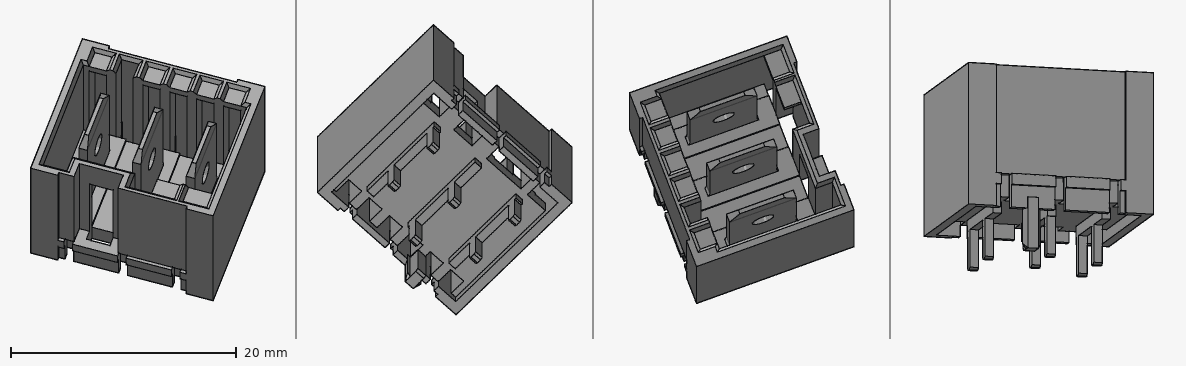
import cadquery as cq

body_x, body_y, body_z = 17.0, 14.9, 12.8
pin_length = 3.6
face_relief = 0.3
panel_half = 5.97
base_z = 1.0
band_bottom, band_top = 2.0, 3.0

cavity_half_x = 7.6
cavity_half_y = 4.95
pocket_reach = 6.55
lead_in = 0.3
plug_thickness = 0.7
groove_z = 2.7
pad_z = band_top
pad_width = 2.79

blade_pitch = 5.0
slot_pitch = blade_pitch / 2
slot_width = 1.6
blade_xs = [-blade_pitch, 0, blade_pitch]
slot_xs = [(i - 2.5) * slot_pitch for i in range(6)]
open_slot = 1

blade_thick = 0.8
blade_top = 12.3
blade_half_y = 3.16
foot_flare = 0.17
foot_flare_z = 3.6
tip_drop = 0.8
tip_flat_half_y = 2.1
tip_flat_width = 0.37
blade_hole_d = 2.0
blade_hole_z = 8.2
outer_pin_ys = [-1.5 * slot_pitch, 0.5 * slot_pitch]
middle_pin_ys = [-y for y in outer_pin_ys]
pin_chamfer = 0.2
blade_base_half_y = 4.3

rib_half = blade_thick / 2
latch_x0, latch_x1 = -blade_pitch - rib_half, rib_half
latch_wall = 0.85
latch_back_y = -5.65
window_width = 2.21
window_x0, window_x1 = -slot_pitch - window_width / 2, -slot_pitch + window_width / 2
window_top = 10.1
front_opening_x = 2.48

front_pockets = [
    (-cavity_half_x, latch_x0),
    (latch_x1, blade_pitch - rib_half),
    (blade_pitch + rib_half, cavity_half_x),
]

front_channel, back_channel = 0.8, 0.99

peg_x = slot_pitch
peg_stem_half = 0.5
peg_wing_half = 0.82
peg_front_y, peg_wing_y, peg_back_y = 5.56, 6.53, 7.17
peg_taper = 0.5
peg_chamfer = 0.25


def block(x0, x1, y0, y1, z0, z1):
    return cq.Workplane("XY").box(x1 - x0, y1 - y0, z1 - z0, centered=False).translate((x0, y0, z0))


def frustum(lower, upper, z0, z1):
    """Loft between two rectangles (x0, x1, y0, y1)."""
    def centre_and_size(r):
        return (r[0] + r[1]) / 2, (r[2] + r[3]) / 2, r[1] - r[0], r[3] - r[2]

    ax, ay, aw, ah = centre_and_size(lower)
    bx, by, bw, bh = centre_and_size(upper)
    return (
        cq.Workplane("XY", origin=(ax, ay, z0)).rect(aw, ah)
        .workplane(offset=z1 - z0).center(bx - ax, by - ay).rect(bw, bh)
        .loft(ruled=True)
    )


def pocket(x0, x1, y0, y1, z0, flare):
    """Pocket open at the top; the sides named in flare (l, r, f, b) get the lead-in."""
    lower = (x0, x1, y0, y1)
    upper = (
        x0 - lead_in * ("l" in flare),
        x1 + lead_in * ("r" in flare),
        y0 - lead_in * ("f" in flare),
        y1 + lead_in * ("b" in flare),
    )
    mouth_z = body_z - lead_in
    return block(*lower, z0, mouth_z).union(frustum(lower, upper, mouth_z, body_z))


def make_shell():
    shell = block(-body_x / 2, body_x / 2, -body_y / 2, body_y / 2, 0, body_z)
    panel_y = body_y / 2 - face_relief
    for z0, z1 in [(0, band_bottom), (band_top, body_z)]:
        for y0, y1 in [(-body_y / 2, -panel_y), (panel_y, body_y / 2)]:
            shell = shell.cut(block(-panel_half, panel_half, y0, y1, z0, z1))
    shell = shell.cut(
        block(-cavity_half_x, cavity_half_x, -pocket_reach, pocket_reach, 0, base_z)
    )
    for x in blade_xs:
        for y0, y1, width in [
            (-body_y / 2, -pocket_reach, front_channel),
            (pocket_reach, body_y / 2, back_channel),
        ]:
            shell = shell.cut(block(x - width / 2, x + width / 2, y0, y1, 0, band_top))
    return shell


def cut_cavity(shell):
    shell = shell.cut(
        block(-cavity_half_x, cavity_half_x, -cavity_half_y, cavity_half_y, groove_z, body_z)
    )
    end_x = slot_xs[-1] + slot_width / 2
    y0, y1 = -cavity_half_y, cavity_half_y
    shell = shell.cut(pocket(-cavity_half_x, -end_x, y0, y1, groove_z, "lfb"))
    shell = shell.cut(pocket(end_x, cavity_half_x, y0, y1, groove_z, "rfb"))
    shell = shell.cut(pocket(latch_x0, latch_x1, y0, y1, groove_z, "f"))

    for x in slot_xs:
        shell = shell.cut(
            pocket(x - slot_width / 2, x + slot_width / 2, cavity_half_y, pocket_reach, 0, "lrb")
        )
    for x0, x1 in front_pockets:
        shell = shell.cut(pocket(x0, x1, -pocket_reach, -cavity_half_y, 0, "lrf"))
    return shell


def add_plugs(shell):
    """Thin webs that close pockets just below the lead-in."""
    z1 = body_z - lead_in
    z0 = z1 - plug_thickness
    for i, x in enumerate(slot_xs):
        if i != open_slot:
            half = slot_width / 2
            shell = shell.union(block(x - half, x + half, cavity_half_y, pocket_reach, z0, z1))
    for x0, x1 in [(front_opening_x, front_pockets[1][1]), front_pockets[2]]:
        shell = shell.union(block(x0, x1, -pocket_reach, -cavity_half_y, z0, z1))
    return shell


def cut_latch(shell):
    face_y = -body_y / 2
    recess = block(
        latch_x0 + latch_wall, latch_x1 - latch_wall, face_y, latch_back_y, band_top, body_z
    )
    window = block(window_x0, window_x1, -pocket_reach, -cavity_half_y, 0, window_top)
    return shell.cut(recess).cut(window)


def add_pads(shell):
    for x in blade_xs:
        shell = shell.union(
            block(x - pad_width / 2, x + pad_width / 2, -cavity_half_y, cavity_half_y, base_z, pad_z)
        )
    return shell


def make_contact(pin_ys):
    """Blade with its embedded base and solder pins, centred on x = 0."""
    half = blade_thick / 2
    foot_half = blade_half_y + foot_flare
    shoulder_z = blade_top - tip_drop
    contact = block(-half, half, -blade_base_half_y, blade_base_half_y, 0, groove_z)
    contact = contact.union(block(-half, half, -foot_half, foot_half, groove_z, pad_z))
    contact = contact.union(frustum(
        (-half, half, -foot_half, foot_half),
        (-half, half, -blade_half_y, blade_half_y), pad_z, foot_flare_z,
    ))
    contact = contact.union(block(-half, half, -blade_half_y, blade_half_y, foot_flare_z, shoulder_z))
    contact = contact.union(frustum(
        (-half, half, -blade_half_y, blade_half_y),
        (-tip_flat_width / 2, tip_flat_width / 2, -tip_flat_half_y, tip_flat_half_y),
        shoulder_z, blade_top,
    ))
    hole = (
        cq.Workplane("YZ", origin=(-half, 0, blade_hole_z))
        .circle(blade_hole_d / 2).extrude(blade_thick)
    )
    contact = contact.cut(hole)
    for y in pin_ys:
        pin = block(-half, half, y - half, y + half, -pin_length, 0)
        contact = contact.union(pin.faces("<Z").edges("|X").chamfer(pin_chamfer))
    return contact


def make_peg():
    """Arrow-shaped peg: a stem toward -Y and two wings, tapered at the tip."""
    outline = [
        (-peg_stem_half, peg_front_y),
        (peg_stem_half, peg_front_y),
        (peg_stem_half, peg_wing_y),
        (peg_wing_half, peg_wing_y),
        (peg_stem_half, peg_back_y),
        (-peg_stem_half, peg_back_y),
        (-peg_wing_half, peg_wing_y),
        (-peg_stem_half, peg_wing_y),
    ]
    prism = (
        cq.Workplane("XY", origin=(peg_x, 0, -pin_length))
        .polyline(outline).close().extrude(pin_length + base_z)
    )
    tip_profile = [
        (-peg_stem_half, -pin_length),
        (peg_stem_half, -pin_length),
        (peg_wing_half, peg_taper - pin_length),
        (peg_wing_half, base_z),
        (-peg_wing_half, base_z),
        (-peg_wing_half, peg_taper - pin_length),
    ]
    tapered = (
        cq.Workplane("XZ", origin=(peg_x, peg_back_y, 0))
        .polyline(tip_profile).close().extrude(peg_back_y - peg_front_y)
    )
    return prism.intersect(tapered.faces("<Z").edges("<Y").chamfer(peg_chamfer))


result = add_pads(cut_latch(add_plugs(cut_cavity(make_shell()))))
for x in blade_xs:
    contact_pin_ys = middle_pin_ys if x == 0 else outer_pin_ys
    result = result.union(make_contact(contact_pin_ys).translate((x, 0, 0)))
result = result.union(make_peg())